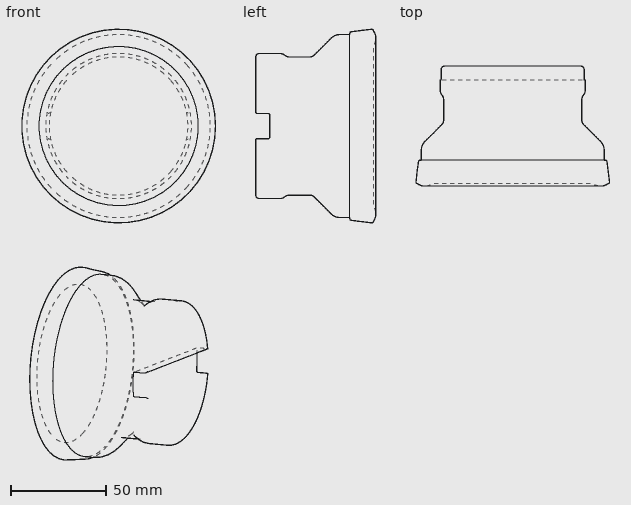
import cadquery as cq
import math

length = 63.02

flange_radius = 101.6 / 2
flange_rear_y = 13.7
flange_taper = math.radians(7)
flange_edge_round = 1.0
bevel_angle = math.radians(27)
crown_round = 4.0
crown_flat_outer_radius = 46.65
crown_flat_inner_radius = 45.9
dish_angle = math.radians(17)
dish_inner_radius = 42.3
floor_radius = 41.7
floor_y = 1.3

body_radius = 96.04 / 2
neck_radius = 72.6 / 2
shoulder_start_y = 18.9
shoulder_round = 6.35
neck_round = 3.175

collar_radius = 76.2 / 2
collar_curve_start_y = 45.4
collar_curve_end_y = 50.2
collar_round = 2.0

slot_width = 13.1
slot_depth = 7.3
slot_corner_round = 0.5
slot_mouth_round = 0.8
slot_overrun = 1.0


def arc_point(center, radius, angle):
    """Point on a circle at an angle measured from the outward radial direction towards +Y."""
    return (center[0] + radius * math.cos(angle), center[1] + radius * math.sin(angle))


def make_body():
    """Revolve the half section, drawn as (radius, y), into the solid part."""
    front = -math.pi / 2
    inner_crown = (crown_flat_inner_radius, crown_round)
    outer_crown = (crown_flat_outer_radius, crown_round)
    dish_outer = arc_point(inner_crown, crown_round, front - dish_angle)
    inner_crown_mid = arc_point(inner_crown, crown_round, front - dish_angle / 2)
    outer_crown_mid = arc_point(outer_crown, crown_round, front + bevel_angle / 2)
    bevel_inner = arc_point(outer_crown, crown_round, front + bevel_angle)
    dish_inner_y = dish_outer[1] + (dish_outer[0] - dish_inner_radius) * math.tan(dish_angle)

    edge_center_radius = flange_radius - flange_edge_round
    bevel_outer_radius = edge_center_radius + flange_edge_round * math.sin(bevel_angle)
    bevel_outer_y = bevel_inner[1] + (bevel_outer_radius - bevel_inner[0]) * math.tan(bevel_angle)
    edge_center_y = bevel_outer_y + flange_edge_round * math.cos(bevel_angle)
    edge_center = (edge_center_radius, edge_center_y)
    taper_start = arc_point(edge_center, flange_edge_round, flange_taper)

    rear_center_y = flange_rear_y - flange_edge_round
    taper_shrink = (rear_center_y - edge_center_y) * math.tan(flange_taper)
    rear_center = (edge_center_radius - taper_shrink, rear_center_y)
    taper_end = arc_point(rear_center, flange_edge_round, flange_taper)
    rear_round_end = (rear_center[0], flange_rear_y)

    rise = math.sin(math.radians(45))
    drop = 1 - rise
    shoulder_top = (body_radius - shoulder_round * drop, shoulder_start_y + shoulder_round * rise)
    neck_foot_radius = neck_radius + neck_round * drop
    neck_foot_y = shoulder_top[1] + shoulder_top[0] - neck_foot_radius
    neck_start_y = neck_foot_y + neck_round * rise

    curve_mid = (
        (neck_radius + collar_radius) / 2,
        (collar_curve_start_y + collar_curve_end_y) / 2,
    )
    rear_face_edge = (collar_radius - collar_round, length)

    profile = (
        cq.Workplane("XY")
        .moveTo(0, floor_y)
        .lineTo(floor_radius, floor_y)
        .lineTo(dish_inner_radius, dish_inner_y)
        .lineTo(*dish_outer)
        .threePointArc(inner_crown_mid, (crown_flat_inner_radius, 0))
        .lineTo(crown_flat_outer_radius, 0)
        .threePointArc(outer_crown_mid, bevel_inner)
        .lineTo(bevel_outer_radius, bevel_outer_y)
        .threePointArc((flange_radius, edge_center_y), taper_start)
        .lineTo(*taper_end)
        .tangentArcPoint(rear_round_end, relative=False)
        .lineTo(body_radius, flange_rear_y)
        .lineTo(body_radius, shoulder_start_y)
        .tangentArcPoint(shoulder_top, relative=False)
        .lineTo(neck_foot_radius, neck_foot_y)
        .tangentArcPoint((neck_radius, neck_start_y), relative=False)
        .lineTo(neck_radius, collar_curve_start_y)
        .tangentArcPoint(curve_mid, relative=False)
        .tangentArcPoint((collar_radius, collar_curve_end_y), relative=False)
        .lineTo(collar_radius, length - collar_round)
        .tangentArcPoint(rear_face_edge, relative=False)
        .lineTo(0, length)
        .close()
    )
    return profile.revolve(360, (0, 0, 0), (0, 1, 0))


def make_slot():
    """Straight cutter for the rear slot, with rounded floor corners and a flared mouth."""
    slot_floor_y = length - slot_depth
    half_width = slot_width / 2
    mouth_half_width = half_width + slot_mouth_round
    mouth_y = length - slot_mouth_round
    mouth_inset = slot_mouth_round * (1 - math.sin(math.radians(45)))
    mouth_mid_y = length - mouth_inset
    cutter = (
        cq.Workplane("YZ")
        .moveTo(slot_floor_y, -half_width)
        .lineTo(mouth_y, -half_width)
        .threePointArc((mouth_mid_y, -half_width - mouth_inset), (length, -mouth_half_width))
        .lineTo(length, mouth_half_width)
        .threePointArc((mouth_mid_y, half_width + mouth_inset), (mouth_y, half_width))
        .lineTo(slot_floor_y, half_width)
        .close()
        .extrude(collar_radius + slot_overrun, both=True)
    )
    return cutter.edges("|X and <Y").fillet(slot_corner_round)


result = make_body().cut(make_slot())